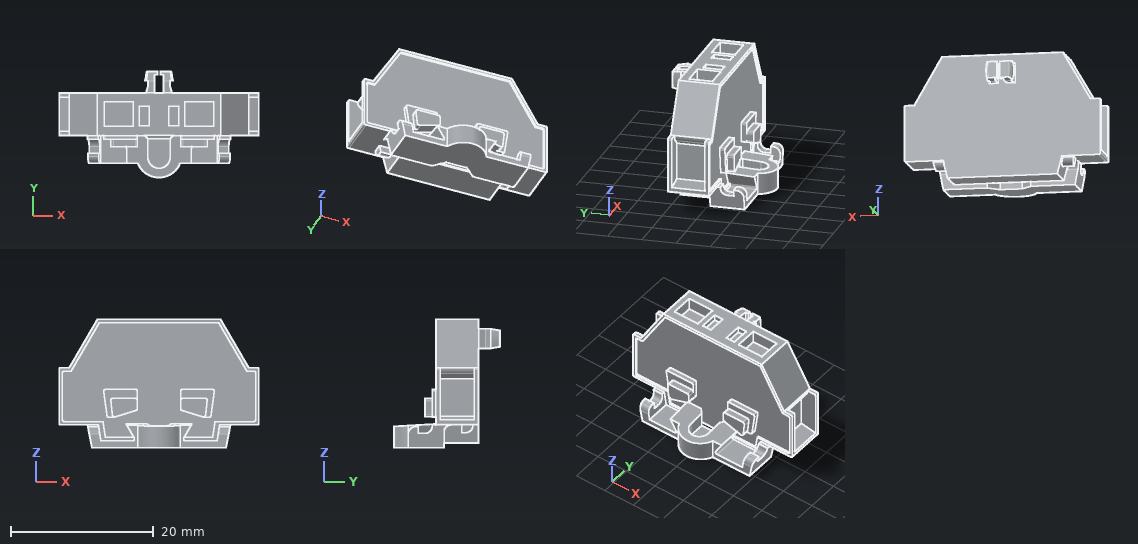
import cadquery as cq
import math

width = 28.0
height = 18.0
depth = 6.0
corner_radius = 0.25

half_width = width / 2
roof_half_width = 8.62
shoulder_half_width = 12.57
shoulder_z = 11.23
housing_bottom_z = 3.2
sill_bottom_z = 0.85
panel_margin = 0.48
panel_foot_inset = 0.22
panel_depth = 0.25

base_front_y = -3.85
base_rear_y = 1.15
base_half_width = 9.4
base_top_half_width = 10.02
floor_z = 0.98
opening_top_half_width = 8.48
opening_floor_half_width = 8.15
dovetail_top_half_width = 4.62
dovetail_foot_half_width = 3.25
dovetail_rear_z = 3.35
dovetail_slope = math.radians(3.3)

collar_radius = 3.2
collar_tip_y = -5.88
slot_radius = 1.57
slot_center_y = -3.0
slot_mouth_y = -0.4

rail_radius = 1.0
hump_top_z = 2.95
hump_rear_y = -2.45
groove_floor_z = 2.02
groove_rear_y = -0.5

foot_bottom_z = 0.65
foot_bottom_half_width = 7.85
tab_bottom_z = 2.13
tab_front_y = 3.67
tab_rear_y = 5.2

latch_inner_x = 3.02
plate_outer_x = 7.78
plate_low_outer_x = 7.25
plate_top_z = 8.18
plate_thickness = 0.5
nose_outer_x = 6.78
nose_low_outer_x = 6.5
nose_top_z = 6.95
nose_reach = 1.55
nose_corner_radius = 0.35
latch_inner_low_z = 5.3
latch_low_x = 6.25
latch_bottom_z = 4.28

roof_entries = [
    (3.58, 7.67, 1.32, 4.73, 2.0),
    (1.37, 2.77, 1.4, 4.15, 0.95),
]

pocket_wall = 0.6
pocket_back_x = 11.48
pocket_lip_z = 3.95
pocket_floor_z = 4.4
pocket_ceiling_z = 9.7
pocket_nose_x = 12.3
pocket_nose_z = 10.42

peg_center_z = 15.3
peg_length = 3.02
peg_height = 2.77
peg_root_half_width = 1.85
peg_neck_half_width = 1.57
peg_neck_y = depth + 0.92
peg_head_y = depth + 1.68
peg_head_half_width = 2.0
peg_head_edge_half_width = 1.75
peg_head_taper = 10.0
peg_slot_half_width = 0.62
peg_gap_half_width = 0.2
peg_lip_length = 0.5


def front_plane(y):
    """Plane facing the front at the given Y; local x and y are X and Z, extrusion runs to the front."""
    return cq.Workplane("XZ", origin=(0, y, 0))


def prism_along_y(points, front_y, rear_y):
    return front_plane(rear_y).polyline(points).close().extrude(rear_y - front_y)


def box_between(x0, x1, y0, y1, z0, z1):
    return cq.Workplane("XY").box(x1 - x0, y1 - y0, z1 - z0, centered=False).translate((x0, y0, z0))


def mirrored(right_points):
    """Complete a right-hand half outline with its mirror image about X = 0."""
    return right_points + [(-x, other) for x, other in reversed(right_points)]


def both_sides(solid):
    return solid.union(solid.mirror("YZ"))


def make_housing():
    upper = prism_along_y(mirrored([
        (half_width, housing_bottom_z),
        (half_width, shoulder_z),
        (shoulder_half_width, shoulder_z),
        (roof_half_width, height),
    ]), 0, depth)
    upper = upper.edges("|Y and (<X or >X)").fillet(corner_radius)
    sill = prism_along_y(mirrored([
        (opening_top_half_width, housing_bottom_z),
        (opening_floor_half_width, floor_z),
        (opening_floor_half_width, sill_bottom_z),
    ]), 0, base_rear_y)
    foot = prism_along_y(mirrored([
        (opening_top_half_width, housing_bottom_z),
        (foot_bottom_half_width, foot_bottom_z),
    ]), base_rear_y, depth)
    return upper.union(sill).union(foot)


def make_panel_recess():
    recess = front_plane(0).polyline(mirrored([
        (opening_floor_half_width - panel_foot_inset, floor_z),
        (opening_top_half_width - panel_foot_inset, housing_bottom_z),
        (half_width, housing_bottom_z),
        (half_width, shoulder_z),
        (shoulder_half_width, shoulder_z),
        (roof_half_width, height),
    ])).close().offset2D(-panel_margin, "intersection").extrude(-panel_depth)
    recess = recess.edges("|Y and (<X or >X)").fillet(corner_radius)
    behind_slot = box_between(
        -dovetail_foot_half_width, dovetail_foot_half_width, 0, panel_depth, sill_bottom_z, housing_bottom_z)
    return recess.union(behind_slot)


def make_end_pocket():
    profile = (
        front_plane(depth - pocket_wall)
        .moveTo(half_width, pocket_lip_z)
        .lineTo(pocket_back_x, pocket_floor_z)
        .lineTo(pocket_back_x, pocket_ceiling_z)
        .lineTo(pocket_nose_x, pocket_nose_z)
        .tangentArcPoint((shoulder_half_width, shoulder_z), relative=False)
        .lineTo(half_width, shoulder_z)
        .close()
    )
    return both_sides(profile.extrude(depth - 2 * pocket_wall))


def make_roof_entries():
    cutter = cq.Workplane("XY")
    for inner_x, outer_x, front_y, rear_y, entry_depth in roof_entries:
        entry = box_between(inner_x, outer_x, front_y, rear_y, height - entry_depth, height)
        cutter = cutter.union(both_sides(entry))
    return cutter


def make_rails():
    """Slanted side blocks, shaped lengthwise into a hump, a groove and a rear tab."""
    rail = (
        cq.Workplane("YZ")
        .moveTo(base_front_y, 0)
        .lineTo(base_front_y, hump_top_z - rail_radius)
        .radiusArc((base_front_y + rail_radius, hump_top_z), rail_radius)
        .lineTo(hump_rear_y, hump_top_z)
        .lineTo(hump_rear_y, groove_floor_z)
        .lineTo(groove_rear_y - rail_radius, groove_floor_z)
        .radiusArc((groove_rear_y, groove_floor_z + rail_radius), -rail_radius)
        .lineTo(groove_rear_y, housing_bottom_z)
        .lineTo(base_rear_y + rail_radius, housing_bottom_z)
        .radiusArc((base_rear_y, housing_bottom_z - rail_radius), -rail_radius)
        .lineTo(base_rear_y, 0)
        .close()
        .extrude(half_width)
    )
    tab = (
        cq.Workplane("YZ")
        .moveTo(tab_front_y, housing_bottom_z)
        .lineTo(tab_front_y, tab_bottom_z)
        .lineTo(tab_rear_y - rail_radius, tab_bottom_z)
        .radiusArc((tab_rear_y, tab_bottom_z + rail_radius), -rail_radius)
        .lineTo(tab_rear_y, housing_bottom_z)
        .close()
        .extrude(half_width)
    )
    rail_section = prism_along_y([
        (base_half_width, 0),
        (base_top_half_width, housing_bottom_z),
        (opening_top_half_width, housing_bottom_z),
        (opening_floor_half_width, floor_z),
        (opening_floor_half_width, 0),
    ], base_front_y, depth)
    tab_section = prism_along_y([
        (base_half_width, 0),
        (base_top_half_width, housing_bottom_z),
        (foot_bottom_half_width, housing_bottom_z),
        (foot_bottom_half_width, 0),
    ], base_front_y, depth)
    return both_sides(rail.intersect(rail_section).union(tab.intersect(tab_section)))


def make_base():
    """Floor plate with a sloping dovetail tongue, ending in a slotted collar."""
    tongue = prism_along_y(mirrored([
        (opening_floor_half_width, 0),
        (opening_floor_half_width, floor_z),
        (dovetail_foot_half_width, floor_z),
        (dovetail_top_half_width, dovetail_rear_z),
    ]), base_front_y, base_rear_y)
    dovetail_root = cq.selectors.BoxSelector(
        (-dovetail_top_half_width, base_front_y, 0),
        (dovetail_top_half_width, base_rear_y, 2 * floor_z),
    )
    tongue = tongue.edges("|Y").edges(dovetail_root).fillet(corner_radius)
    collar = (
        cq.Workplane("XY")
        .center(0, collar_tip_y + collar_radius)
        .circle(collar_radius)
        .extrude(dovetail_rear_z)
    )
    tip_drop = (panel_depth - collar_tip_y) * math.tan(dovetail_slope)
    slope_cut = (
        cq.Workplane("YZ")
        .polyline([
            (panel_depth, dovetail_rear_z),
            (collar_tip_y, dovetail_rear_z - tip_drop),
            (collar_tip_y, dovetail_rear_z),
        ])
        .close()
        .extrude(half_width, both=True)
    )
    slot = (
        cq.Workplane("XY", origin=(0, 0, floor_z))
        .moveTo(slot_radius, slot_mouth_y)
        .lineTo(slot_radius, slot_center_y)
        .threePointArc((0, slot_center_y - slot_radius), (-slot_radius, slot_center_y))
        .lineTo(-slot_radius, slot_mouth_y)
        .close()
        .extrude(dovetail_rear_z)
    )
    mouth_rear_half_width = slot_radius + base_rear_y - slot_mouth_y
    mouth = (
        cq.Workplane("XY")
        .polyline(mirrored([
            (slot_radius, slot_mouth_y),
            (mouth_rear_half_width, base_rear_y),
        ]))
        .close()
        .extrude(dovetail_rear_z)
    )
    return tongue.union(collar).cut(slope_cut).cut(slot).cut(mouth)


def make_latches():
    plate = prism_along_y([
        (latch_inner_x, plate_top_z),
        (plate_outer_x, plate_top_z),
        (plate_low_outer_x, latch_bottom_z),
        (latch_low_x, latch_bottom_z),
        (latch_inner_x, latch_inner_low_z),
    ], -plate_thickness, panel_depth).edges("|Y").fillet(corner_radius)
    low_edge_slope = (latch_bottom_z - latch_inner_low_z) / (latch_low_x - latch_inner_x)
    nose_bottom_z = latch_inner_low_z + low_edge_slope * (nose_low_outer_x - latch_inner_x)
    nose = prism_along_y([
        (latch_inner_x, nose_top_z),
        (nose_outer_x, nose_top_z),
        (nose_low_outer_x, nose_bottom_z),
        (latch_inner_x, latch_inner_low_z),
    ], -nose_reach, panel_depth).edges("|Y").fillet(nose_corner_radius)
    return both_sides(plate.union(nose))


def make_peg():
    end_y = depth + peg_length
    neck = (
        cq.Workplane("XY", origin=(0, 0, peg_center_z - peg_height / 2))
        .polyline(mirrored([
            (peg_root_half_width, depth),
            (peg_neck_half_width, peg_neck_y),
            (peg_neck_half_width, peg_head_y),
        ]))
        .close()
        .extrude(peg_height)
    )
    half_height = peg_height / 2
    head = (
        cq.Workplane("XZ", origin=(0, peg_head_y, peg_center_z))
        .moveTo(peg_head_edge_half_width, -half_height)
        .threePointArc((peg_head_half_width, 0), (peg_head_edge_half_width, half_height))
        .lineTo(-peg_head_edge_half_width, half_height)
        .threePointArc((-peg_head_half_width, 0), (-peg_head_edge_half_width, -half_height))
        .close()
        .extrude(peg_head_y - end_y, taper=peg_head_taper)
    )
    head = head.faces(">Y").edges("<X or >X").fillet(corner_radius)
    bottom_z = peg_center_z - peg_height
    top_z = peg_center_z + peg_height
    lip_y = end_y - peg_lip_length
    slot = box_between(-peg_slot_half_width, peg_slot_half_width, depth, lip_y, bottom_z, top_z)
    gap = box_between(-peg_gap_half_width, peg_gap_half_width, depth, end_y, bottom_z, top_z)
    return neck.union(head).cut(slot).cut(gap)


housing = make_housing().cut(make_panel_recess()).cut(make_end_pocket()).cut(make_roof_entries())
result = housing.union(make_base()).union(make_rails()).union(make_latches()).union(make_peg())